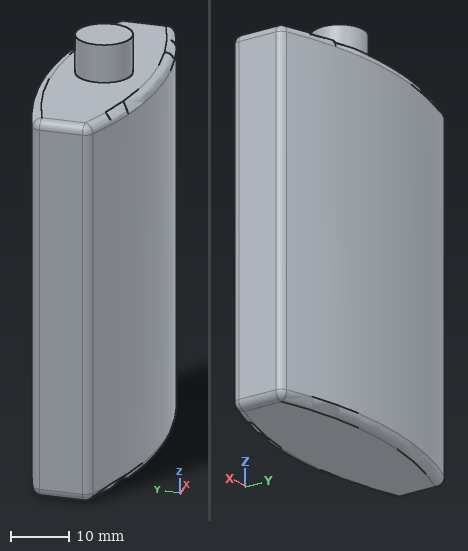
import cadquery as cq

total_height = 77.0
body_width = 50.0
body_thickness = 20.0

neck_height = total_height / 11
body_height = total_height - neck_height
neck_diameter = body_thickness / 2
edge_radius = body_thickness / 12

half_width = body_width / 2
half_thickness = body_thickness / 2
half_side = body_thickness / 4


def make_body():
    """Flask with flat narrow sides, arched broad faces and every edge rounded."""
    return (
        cq.Workplane("XY")
        .moveTo(-half_width, -half_side)
        .threePointArc((0, -half_thickness), (half_width, -half_side))
        .lineTo(half_width, half_side)
        .threePointArc((0, half_thickness), (-half_width, half_side))
        .close()
        .extrude(body_height)
        .edges()
        .fillet(edge_radius)
    )


def add_neck(body):
    """Plain solid cylinder centred on the top face."""
    top_plane = body.faces(">Z").workplane(origin=(0, 0, body_height))
    return top_plane.circle(neck_diameter / 2).extrude(neck_height)


result = add_neck(make_body())